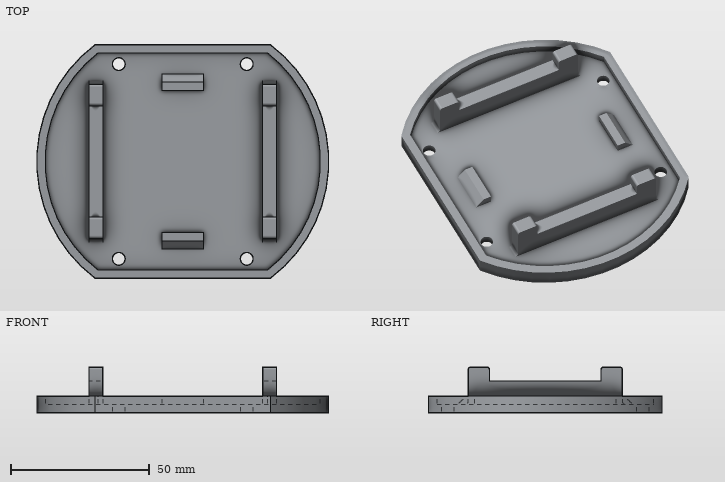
import cadquery as cq
import math

disc_radius = 52.5
tray_width = 84.0
tray_height = 6.0
rim_width = 3.0
floor_thickness = 3.0

hole_diameter = 4.5
hole_spacing_x = 46.0
hole_spacing_y = 70.0

rail_thickness = 5.0
rail_center_x = 31.25
total_height = 16.5
bar_top = 11.5
post_gap = 40.0
post_width = 7.75
post_top_radius = 1.0
foot_radius = 1.2

ledge_length = 15.0
ledge_inner_y = 25.5
ledge_ridge_y = 28.5
ledge_outer_y = 31.5
ledge_height = 3.0


def flatted_disc(radius, width, bottom, height):
    """Disc with two flats parallel to X, outlined as two chords and two end arcs."""
    flat_y = width / 2
    flat_end_x = math.sqrt(radius**2 - flat_y**2)
    return (
        cq.Workplane("XY", origin=(0, 0, bottom))
        .moveTo(-flat_end_x, -flat_y)
        .lineTo(flat_end_x, -flat_y)
        .threePointArc((radius, 0), (flat_end_x, flat_y))
        .lineTo(-flat_end_x, flat_y)
        .threePointArc((-radius, 0), (-flat_end_x, -flat_y))
        .close()
        .extrude(height)
    )


def make_tray():
    body = flatted_disc(disc_radius, tray_width, 0, tray_height)
    pocket = flatted_disc(
        disc_radius - rim_width,
        tray_width - 2 * rim_width,
        floor_thickness,
        tray_height - floor_thickness,
    )
    holes = (
        cq.Workplane("XY")
        .rarray(hole_spacing_x, hole_spacing_y, 2, 2)
        .circle(hole_diameter / 2)
        .extrude(floor_thickness)
    )
    return body.cut(pocket).cut(holes)


def make_rail(center_x):
    """U-shaped rail with rounded post tops and a concave fillet at each outer foot."""
    gap_y = post_gap / 2
    end_y = gap_y + post_width
    foot_y = end_y + foot_radius
    start_x = center_x - rail_thickness / 2
    profile = (
        cq.Workplane("YZ", origin=(start_x, 0, 0))
        .moveTo(-foot_y, floor_thickness)
        .radiusArc((-end_y, floor_thickness + foot_radius), -foot_radius)
        .lineTo(-end_y, total_height - post_top_radius)
        .radiusArc((-end_y + post_top_radius, total_height), post_top_radius)
        .lineTo(-gap_y - post_top_radius, total_height)
        .radiusArc((-gap_y, total_height - post_top_radius), post_top_radius)
        .lineTo(-gap_y, bar_top)
        .lineTo(gap_y, bar_top)
        .lineTo(gap_y, total_height - post_top_radius)
        .radiusArc((gap_y + post_top_radius, total_height), post_top_radius)
        .lineTo(end_y - post_top_radius, total_height)
        .radiusArc((end_y, total_height - post_top_radius), post_top_radius)
        .lineTo(end_y, floor_thickness + foot_radius)
        .radiusArc((foot_y, floor_thickness), -foot_radius)
        .close()
    )
    return profile.extrude(rail_thickness)


def make_ledge(side):
    """Block with a vertical inner side; side is +1 or -1 for the end in Y."""
    ledge_top = floor_thickness + ledge_height
    return (
        cq.Workplane("YZ")
        .moveTo(side * ledge_inner_y, floor_thickness)
        .lineTo(side * ledge_inner_y, ledge_top)
        .lineTo(side * ledge_ridge_y, ledge_top)
        .lineTo(side * ledge_outer_y, floor_thickness)
        .close()
        .extrude(ledge_length / 2, both=True)
    )


result = make_tray()
for side in (-1, 1):
    result = result.union(make_rail(side * rail_center_x))
    result = result.union(make_ledge(side))